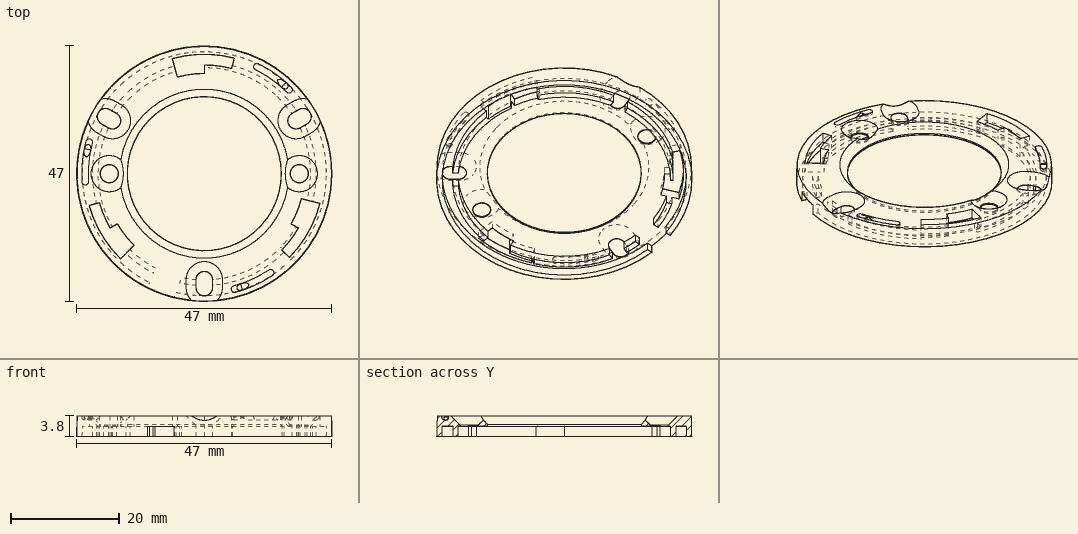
import cadquery as cq
OUTER_RADIUS = 23.5
TOP_EDGE_RADIUS = 23.4
PARTING_HEIGHT = 2.2
HEIGHT = 3.8
PLATE_BOTTOM = 1.9
SKIRT_INNER_RADIUS = 22.45

BORE_RADIUS = 14.15
BORE_MOUTH_RADIUS = 15.55
BORE_MOUTH_DEPTH = 1.6

WALL_INNER_RADIUS = 19.55
WALL_OUTER_RADIUS = 20.6

COUNTERSINK_RADIUS = 3.35
ROUND_HOLE_RADIUS = 1.65
ROUND_HOLE_DISTANCE = 17.5
ROUND_HOLE_ANGLES = (0, 180)
SLOT_RADIUS = 1.5
SLOT_NEAR_DISTANCE = 19.5
SLOT_FAR_DISTANCE = 20.95

REPEAT_ANGLES = (0, 120, 240)
SLOT_ANGLE = 30.0

WINDOW_STEP_ANGLE = 90.0
WINDOW_WIDE_SPAN = 15.5
WINDOW_NARROW_SPAN = 14.5
WINDOW_WIDE_INNER_RADIUS = 18.45
WINDOW_NARROW_INNER_RADIUS = 20.0
WINDOW_OUTER_RADIUS = 21.95

NOTCH_ANGLE = 250.0
NOTCH_WIDTH = 5.2

GROOVE_RADIUS = 21.95
GROOVE_TUBE_RADIUS = 0.6
GROOVE_AXIS_DEPTH = 0.2
GROOVE_START_ANGLE = 44.7
GROOVE_SPAN = 19.1
RIDGE_ANGLE = 48.2
RIDGE_TOP_DEPTH = 0.25
RAMP_LENGTH = 1.4
RIDGE_BACK_LENGTH = 0.9
RIDGE_EMBEDDING = 0.15

OVERCUT = 0.45


def turned(solid, angle):
    """Turn a solid about the ring axis."""
    return solid.rotate((0, 0, 0), (0, 0, 1), angle)


def sector(inner_radius, outer_radius, start_angle, span, bottom, top):
    """Block bounded by two arcs about the ring axis and two radial sides."""
    profile = cq.Workplane("XZ").moveTo(inner_radius, bottom)
    profile = profile.lineTo(outer_radius, bottom).lineTo(outer_radius, top)
    profile = profile.lineTo(inner_radius, top).close()
    return turned(profile.revolve(span, (0, 0, 0), (0, 1, 0)), start_angle)


def ring_body():
    """Plate, skirt and thin wall turned from one profile, bore mouth included."""
    profile = [
        (BORE_RADIUS, PLATE_BOTTOM),
        (WALL_INNER_RADIUS, PLATE_BOTTOM),
        (WALL_INNER_RADIUS, 0),
        (WALL_OUTER_RADIUS, 0),
        (WALL_OUTER_RADIUS, PLATE_BOTTOM),
        (SKIRT_INNER_RADIUS, PLATE_BOTTOM),
        (SKIRT_INNER_RADIUS, 0),
        (OUTER_RADIUS, 0),
        (OUTER_RADIUS, PARTING_HEIGHT),
        (TOP_EDGE_RADIUS, HEIGHT),
        (BORE_MOUTH_RADIUS, HEIGHT),
        (BORE_RADIUS, HEIGHT - BORE_MOUTH_DEPTH),
    ]
    return cq.Workplane("XZ").polyline(profile).close().revolve(360, (0, 0, 0), (0, 1, 0))


def countersunk_hole(hole_radius, distance):
    """Cutter for a round hole with a 45 degree countersink, placed along +X."""
    depth = COUNTERSINK_RADIUS - hole_radius
    profile = [
        (0, 0),
        (hole_radius, 0),
        (hole_radius, HEIGHT - depth),
        (COUNTERSINK_RADIUS, HEIGHT),
        (0, HEIGHT),
    ]
    cutter = cq.Workplane("XZ").polyline(profile).close().revolve(360, (0, 0, 0), (0, 1, 0))
    return cutter.translate((distance, 0, 0))


def countersunk_slot():
    """Cutter for a radial slot with a 45 degree countersink, turned to its place on the ring."""
    depth = COUNTERSINK_RADIUS - SLOT_RADIUS
    section = [
        (-SLOT_RADIUS, 0),
        (SLOT_RADIUS, 0),
        (SLOT_RADIUS, HEIGHT - depth),
        (COUNTERSINK_RADIUS, HEIGHT),
        (-COUNTERSINK_RADIUS, HEIGHT),
        (-SLOT_RADIUS, HEIGHT - depth),
    ]
    middle = cq.Workplane("YZ").polyline(section).close().extrude(SLOT_FAR_DISTANCE - SLOT_NEAR_DISTANCE)
    cutter = middle.translate((SLOT_NEAR_DISTANCE, 0, 0))
    for distance in (SLOT_NEAR_DISTANCE, SLOT_FAR_DISTANCE):
        cutter = cutter.union(countersunk_hole(SLOT_RADIUS, distance))
    return turned(cutter, SLOT_ANGLE)


def window():
    """Cutter for a window whose inner side steps outward halfway along."""
    top = HEIGHT + OVERCUT
    wide = sector(WINDOW_WIDE_INNER_RADIUS, WINDOW_OUTER_RADIUS,
                  WINDOW_STEP_ANGLE, WINDOW_WIDE_SPAN, -OVERCUT, top)
    narrow = sector(WINDOW_NARROW_INNER_RADIUS, WINDOW_OUTER_RADIUS,
                    WINDOW_STEP_ANGLE - WINDOW_NARROW_SPAN, WINDOW_NARROW_SPAN, -OVERCUT, top)
    return wide.union(narrow)


def cable_notch():
    """Cutter that opens the skirt and the thin wall below the plate."""
    inner = WALL_INNER_RADIUS - OVERCUT
    length = OUTER_RADIUS + OVERCUT - inner
    block = cq.Workplane("XY").box(length, NOTCH_WIDTH, PLATE_BOTTOM, centered=(False, True, False))
    return turned(block.translate((inner, 0, 0)), NOTCH_ANGLE)


def ridge():
    """Triangular ridge across a groove: a long ramp on one side, a short one on the other."""
    top = HEIGHT - RIDGE_TOP_DEPTH
    floor_drop = GROOVE_AXIS_DEPTH + GROOVE_TUBE_RADIUS - RIDGE_TOP_DEPTH
    drop = floor_drop + RIDGE_EMBEDDING
    stretch = drop / floor_drop
    width = 2 * (GROOVE_TUBE_RADIUS + RIDGE_EMBEDDING)
    section = [(-RIDGE_BACK_LENGTH * stretch, top - drop), (RAMP_LENGTH * stretch, top - drop), (0, top)]
    prism = cq.Workplane("YZ").polyline(section).close().extrude(width)
    return turned(prism.translate((GROOVE_RADIUS - width / 2, 0, 0)), RIDGE_ANGLE)


def groove_run():
    """Cutter for the length of an arc groove: straight sides over a half-round floor."""
    axis_height = HEIGHT - GROOVE_AXIS_DEPTH
    inner = GROOVE_RADIUS - GROOVE_TUBE_RADIUS
    outer = GROOVE_RADIUS + GROOVE_TUBE_RADIUS
    section = cq.Workplane("XZ").moveTo(inner, HEIGHT + OVERCUT).lineTo(inner, axis_height)
    section = section.radiusArc((GROOVE_RADIUS, axis_height - GROOVE_TUBE_RADIUS), -GROOVE_TUBE_RADIUS)
    section = section.radiusArc((outer, axis_height), -GROOVE_TUBE_RADIUS)
    section = section.lineTo(outer, HEIGHT + OVERCUT).close()
    return turned(section.revolve(GROOVE_SPAN, (0, 0, 0), (0, 1, 0)), GROOVE_START_ANGLE)


def groove_end(angle):
    """Cutter for the ball end of an arc groove."""
    axis_height = HEIGHT - GROOVE_AXIS_DEPTH
    section = cq.Workplane("XZ").moveTo(0, axis_height - GROOVE_TUBE_RADIUS)
    section = section.radiusArc((GROOVE_TUBE_RADIUS, axis_height), -GROOVE_TUBE_RADIUS)
    section = section.lineTo(GROOVE_TUBE_RADIUS, HEIGHT + OVERCUT).lineTo(0, HEIGHT + OVERCUT).close()
    end = section.revolve(360, (0, 0, 0), (0, 1, 0))
    return turned(end.translate((GROOVE_RADIUS, 0, 0)), angle)


groove_cutters = [
    groove_end(GROOVE_START_ANGLE),
    groove_end(GROOVE_START_ANGLE + GROOVE_SPAN),
    groove_run(),
]

result = ring_body()

for angle in ROUND_HOLE_ANGLES:
    result = result.cut(turned(countersunk_hole(ROUND_HOLE_RADIUS, ROUND_HOLE_DISTANCE), angle))

for angle in REPEAT_ANGLES:
    for cutter in groove_cutters + [countersunk_slot(), window()]:
        result = result.cut(turned(cutter, angle))
    result = result.union(turned(ridge(), angle))

result = result.cut(cable_notch())